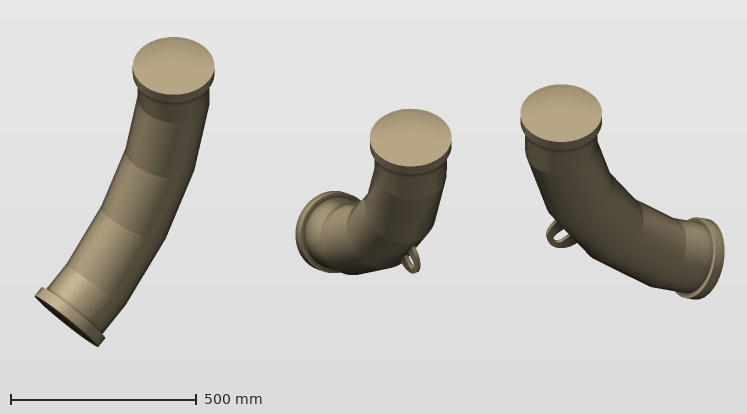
import cadquery as cq
import math

flange_diameter = 220.0
flange_thickness = 30.0
pipe_diameter = 194.0
end_length = 129.0
middle_length = 197.5
turn_angle = 15.0
segment_lengths = [end_length, middle_length, middle_length, middle_length, end_length]

lug_radius = 58.0
lug_thickness = 10.0
slot_radius = 19.0
slot_reach = 43.5
lug_segment = len(segment_lengths) // 2


def segment_direction(index):
    """Direction of a segment, heading down and turning toward -Y."""
    angle = math.radians(index * turn_angle)
    return cq.Vector(0, -math.sin(angle), -math.cos(angle))


def axis_points():
    points = [cq.Vector(0, 0, 0)]
    for index, length in enumerate(segment_lengths):
        points.append(points[-1] + segment_direction(index) * length)
    return points


def make_pipe(points):
    path = cq.Workplane("XY").polyline(points)
    return cq.Workplane("XY").circle(pipe_diameter / 2).sweep(path, transition="right")


def make_flange(end, inward):
    """Blind flange whose outer face is centred on the pipe end."""
    plane = cq.Plane(origin=end, xDir=(1, 0, 0), normal=inward)
    return cq.Workplane(plane).circle(flange_diameter / 2).extrude(flange_thickness)


def make_lug(points):
    """Slotted disc in the YZ plane, with the slot running outward from the pipe."""
    along = segment_direction(lug_segment)
    outward = cq.Vector(0, along.z, -along.y) * -1
    middle = (points[lug_segment] + points[lug_segment + 1]) * 0.5
    center = middle + outward * (pipe_diameter / 2)
    plane = cq.Plane(origin=center, xDir=outward, normal=(1, 0, 0))
    disc = cq.Workplane(plane).circle(lug_radius).extrude(lug_thickness / 2, both=True)
    straight = slot_reach - slot_radius
    slot = (
        cq.Workplane(plane)
        .moveTo(0, -slot_radius)
        .lineTo(straight, -slot_radius)
        .threePointArc((slot_reach, 0), (straight, slot_radius))
        .lineTo(0, slot_radius)
        .close()
        .extrude(lug_thickness, both=True)
    )
    return disc.cut(slot)


axis = axis_points()
last_direction = segment_direction(len(segment_lengths) - 1)
result = (
    make_pipe(axis)
    .union(make_flange(axis[0], segment_direction(0)))
    .union(make_flange(axis[-1], last_direction * -1))
    .union(make_lug(axis))
)